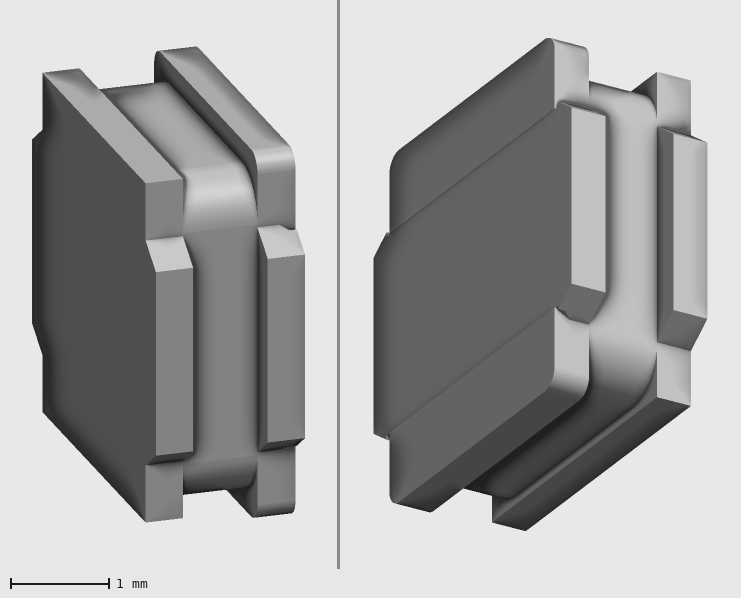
import cadquery as cq
import math

width = 4.0
neck_half_width = 1.67
ear_half_height = 1.0
ear_root_half_height = 1.225
flange_thickness = 0.4

front_height = 3.695
rear_height = 4.0
rear_corner_radius = 0.2
winding_height = 3.51
winding_length = 0.8
winding_corner_radius = 0.5
winding_front = -winding_length / 2
winding_back = winding_length / 2
rear_face = winding_back + flange_thickness

sheet_thickness = 0.01
groove_depth = 0.16
groove_half_length = 1.735
groove_inner_edge = 1.13
groove_outer_edge = 1.9
groove_wall_angle = 30.0
terminal_back = rear_face + sheet_thickness


def prism(outline, back, length):
    """Sweep a closed XZ outline forward from its back face."""
    return outline.extrude(length).translate((0, back, 0))


def rounded_block(block_width, height, radius, back, length):
    """Block along Y with its four long edges rounded."""
    block = prism(cq.Workplane("XZ").rect(block_width, height), back, length)
    return block.edges("|Y").fillet(radius)


def ears(back):
    """Tapered pair of side ears joined across the full width."""
    outline = cq.Workplane("XZ").polyline([
        (width / 2, -ear_half_height),
        (width / 2, ear_half_height),
        (neck_half_width, ear_root_half_height),
        (-neck_half_width, ear_root_half_height),
        (-width / 2, ear_half_height),
        (-width / 2, -ear_half_height),
        (-neck_half_width, -ear_root_half_height),
        (neck_half_width, -ear_root_half_height),
    ]).close()
    return prism(outline, back, flange_thickness)


def groove(side):
    """Trapezoidal channel along X; side is +1 for upper, -1 for lower."""
    taper = groove_depth * math.tan(math.radians(groove_wall_angle))
    floor = rear_face - groove_depth
    return (
        cq.Workplane("YZ")
        .polyline([
            (rear_face, side * groove_inner_edge),
            (floor, side * (groove_inner_edge + taper)),
            (floor, side * (groove_outer_edge - taper)),
            (rear_face, side * groove_outer_edge),
        ])
        .close()
        .extrude(groove_half_length, both=True)
    )


def make_front_flange():
    plate = prism(cq.Workplane("XZ").rect(2 * neck_half_width, front_height), winding_front, flange_thickness)
    return plate.union(ears(winding_front))


def make_winding():
    return rounded_block(
        2 * neck_half_width, winding_height, winding_corner_radius, winding_back, winding_length
    )


def make_rear_flange():
    plate = rounded_block(2 * neck_half_width, rear_height, rear_corner_radius, rear_face, flange_thickness)
    flange = plate.union(ears(rear_face))
    for side in (1, -1):
        flange = flange.cut(groove(side))
    return flange


def make_terminal(side):
    """Sheet and key, both trimmed to the rounded outline of the rear flange."""
    sheet_height = rear_height / 2 - groove_inner_edge
    sheet_center = side * (groove_inner_edge + sheet_height / 2)
    sheet_outline = cq.Workplane("XZ").center(0, sheet_center).rect(2 * neck_half_width, sheet_height)
    sheet = prism(sheet_outline, terminal_back, sheet_thickness)
    envelope = rounded_block(
        2 * neck_half_width, rear_height, rear_corner_radius,
        terminal_back, flange_thickness + sheet_thickness,
    )
    return groove(side).union(sheet).intersect(envelope)


front_flange = make_front_flange()
winding = make_winding()
rear_flange = make_rear_flange()
terminals = [make_terminal(side) for side in (1, -1)]

result = cq.Compound.makeCompound([
    front_flange.val(),
    winding.val(),
    rear_flange.val(),
    *[terminal.val() for terminal in terminals],
])